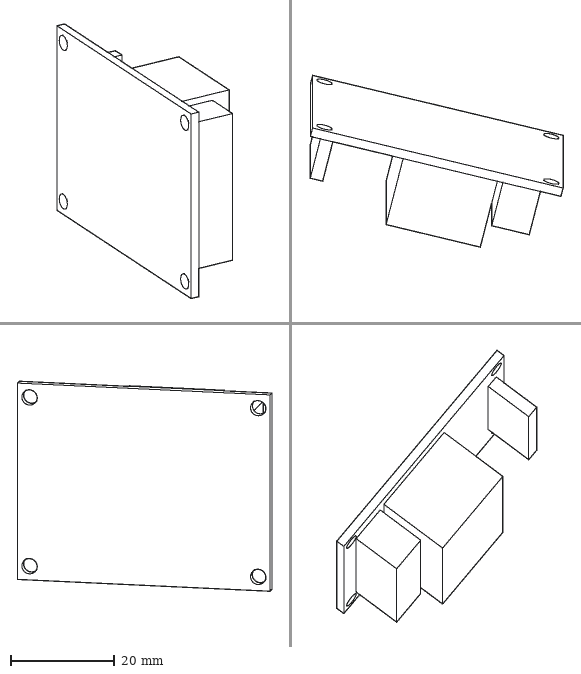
import cadquery as cq

plate_width = 50.0
plate_height = 39.0
plate_thickness = 1.75

hole_diameter = 3.0
hole_spacing_x = 45.25
hole_spacing_z = 33.5

tall_block_depth = 14.5
low_block_depth = 10.0

strip_left = 2.45
strip_width = 2.5
strip_height = 25.0

main_left = 18.7
main_width = 18.8
main_height = 32.5

side_left = 38.65
side_width = 7.5
side_height = 31.0


def make_plate():
    """Rectangular plate with four through holes."""
    plate = cq.Workplane("XY").box(
        plate_width, plate_thickness, plate_height, centered=(True, False, True)
    )
    return (
        plate.faces("<Y")
        .workplane(origin=(0, 0, 0))
        .rect(hole_spacing_x, hole_spacing_z, forConstruction=True)
        .vertices()
        .hole(hole_diameter)
    )


def make_block(left, width, depth, height):
    """Block standing on the inner face of the plate."""
    block = cq.Workplane("XY").box(width, depth, height, centered=(False, False, True))
    return block.translate((left - plate_width / 2, plate_thickness, 0))


result = (
    make_plate()
    .union(make_block(strip_left, strip_width, low_block_depth, strip_height))
    .union(make_block(main_left, main_width, tall_block_depth, main_height))
    .union(make_block(side_left, side_width, low_block_depth, side_height))
)